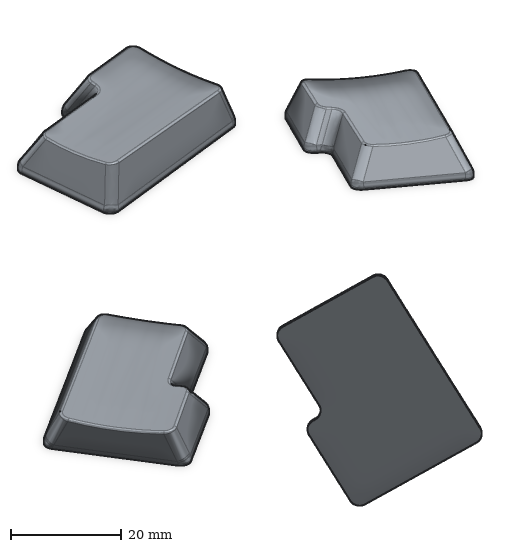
import cadquery as cq
import math

LENGTH_X = 27.46
LENGTH_Y = 37.21
STEP_X = 4.5
UPPER_Y = 18.75

SKIRT_HEIGHT = 1.0
BLANK_HEIGHT = 9.0

SIDE_LEAN = 26.0
FRONT_LEAN = 33.0
BACK_LEAN = 4.5

CORNER_RADIUS = 2.0
TOP_RADIUS = 0.5

DISH_RADIUS = 65.0
DISH_LOW_POINT = 6.61
DISH_TILT = 1.15


def outline(height, rise):
    """L-shaped wire at a height, drawn in by the wall lean over the given rise."""
    side = rise * math.tan(math.radians(SIDE_LEAN))
    front_inset = rise * math.tan(math.radians(FRONT_LEAN))
    back_inset = rise * math.tan(math.radians(BACK_LEAN))
    left = -LENGTH_X / 2 + side
    right = LENGTH_X / 2 - side
    front = -LENGTH_Y / 2 + front_inset
    back = LENGTH_Y / 2 - back_inset
    step_x = left + STEP_X
    step_y = LENGTH_Y / 2 - UPPER_Y + front_inset
    corners = [
        (step_x, front),
        (right, front),
        (right, back),
        (left, back),
        (left, step_y),
        (step_x, step_y),
    ]
    return cq.Wire.makePolygon([cq.Vector(x, y, height) for x, y in corners], close=True)


def prism_between(lower, upper):
    """Flat-sided body between two matching outlines."""
    return cq.Workplane(obj=cq.Solid.makeLoft([lower, upper], True))


def make_blank():
    """Upright skirt with leaning walls above it, corners and rim rounded together."""
    rim = outline(SKIRT_HEIGHT, 0)
    skirt = prism_between(outline(0, 0), rim)
    walls = prism_between(rim, outline(BLANK_HEIGHT, BLANK_HEIGHT - SKIRT_HEIGHT))
    blank = skirt.union(walls)

    rim_zone = cq.selectors.BoxSelector(
        (-LENGTH_X, -LENGTH_Y, SKIRT_HEIGHT / 2),
        (LENGTH_X, LENGTH_Y, SKIRT_HEIGHT * 3 / 2),
    )
    corner_edges = blank.edges("not #Z")
    rim_edges = blank.edges(rim_zone).edges("#Z")
    return corner_edges.add(rim_edges).fillet(CORNER_RADIUS)


def make_dish_cutter():
    """Long cylinder whose lowest line forms the dished top."""
    cutter_length = 2 * LENGTH_Y
    cutter = cq.Workplane("XZ").circle(DISH_RADIUS).extrude(cutter_length / 2, both=True)
    cutter = cutter.rotate((0, 0, 0), (1, 0, 0), -DISH_TILT)
    return cutter.translate((0, 0, DISH_LOW_POINT + DISH_RADIUS))


result = make_blank().cut(make_dish_cutter())
result = result.faces("%CYLINDER").edges().fillet(TOP_RADIUS)